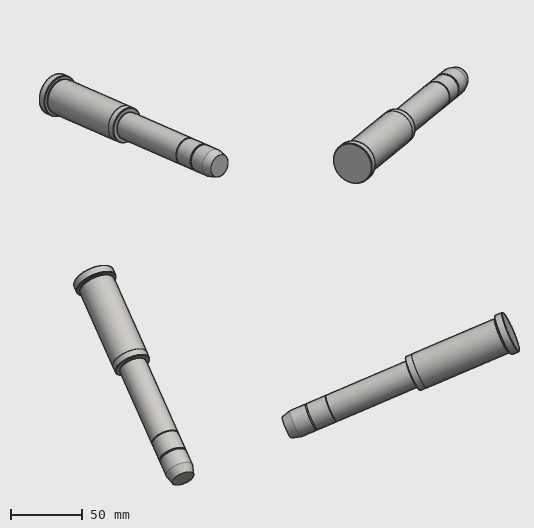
import cadquery as cq

total_length = 171.0

head_diameter = 30.0
head_length = 6.0
head_chamfer = 0.5

body_diameter = 26.0
body_end = 75.0
body_chamfer = 0.5
lead_diameter = 25.8
lead_length = 5.1
body_relief_width = 1.0
body_relief_depth = 0.3

shaft_diameter = 20.0
shaft_relief_width = 0.5
shaft_relief_depth = 0.3
tip_diameter = 16.2
tip_length = 6.8

groove_depth = 0.25
groove_spans = ((136.8, 0.5), (151.5, 1.0))


def cylinder(start, end, diameter):
    """Round section between two places on the axis."""
    return (
        cq.Workplane("YZ", origin=(start, 0, 0))
        .circle(diameter / 2)
        .extrude(end - start)
    )


def ring_groove(start, width, diameter, depth):
    """Ring of material to remove from a section of the given diameter."""
    outer = cylinder(start, start + width, diameter + 2 * depth)
    core = cylinder(start, start + width, diameter - 2 * depth)
    return outer.cut(core)


head = cylinder(0, head_length, head_diameter).edges().chamfer(head_chamfer)

lead_start = body_end - lead_length
body = cylinder(head_length, lead_start, body_diameter)
lead = cylinder(lead_start, body_end, lead_diameter).faces(">X").edges().chamfer(body_chamfer)

taper_drop = (shaft_diameter - tip_diameter) / 2
shaft = (
    cylinder(body_end, total_length, shaft_diameter)
    .faces(">X")
    .edges()
    .chamfer(tip_length, taper_drop)
)

result = head.union(body).union(lead).union(shaft)

result = result.cut(ring_groove(head_length, body_relief_width, body_diameter, body_relief_depth))
result = result.cut(ring_groove(body_end, shaft_relief_width, shaft_diameter, shaft_relief_depth))

for groove_start, groove_width in groove_spans:
    result = result.cut(ring_groove(groove_start, groove_width, shaft_diameter, groove_depth))